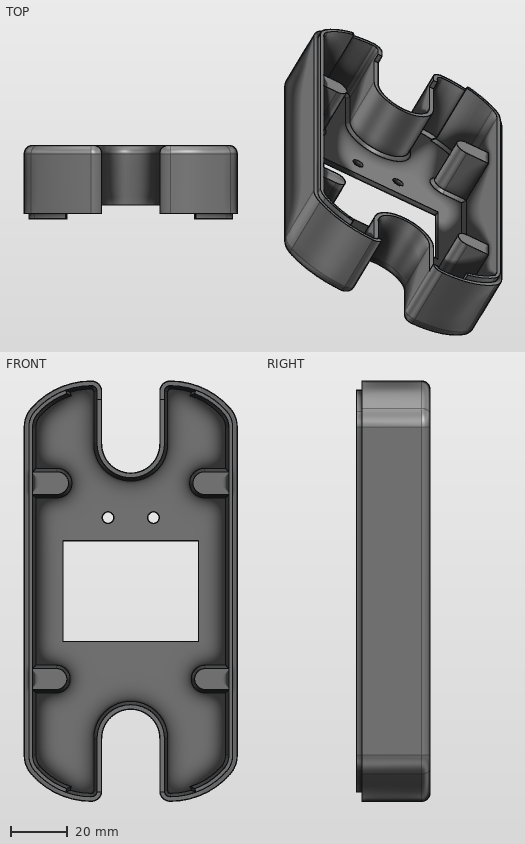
import cadquery as cq
import math

length = 148.0
width = 75.0
depth = 25.9

end_radius = 28.0
corner_radius = 10.0
notch_half_width = 10.2
notch_floor_z = 41.6
notch_corner_radius = 3.7

back_round = 3.0
floor_thickness = 1.8
thin_wall = 1.6
side_wall = 3.0
foot_chamfer = 1.2
lip_height = 1.9
lip_end_angle = 70.0

notch_wall_drop = 3.0
notch_drop_top_z = 67.5
notch_drop_bottom_z = -70.7

window_width = 47.7
window_height = 35.4
hole_diameter = 4.0
hole_x = 8.0
hole_z = 25.9

peg_pairs = [
    (38.0, 4.0, 21.9),
    (-31.0, 3.7, 22.5),
]
peg_front_y = 6.4

half_width = width / 2
half_length = length / 2
rim_y = lip_height
floor_y = depth - floor_thickness
arc_x = notch_half_width + notch_corner_radius
arc_z = half_length - end_radius
corner_x = half_width - corner_radius
corner_run = corner_x - arc_x
corner_z = arc_z + math.sqrt((end_radius - corner_radius) ** 2 - corner_run**2)
joint_angle = math.degrees(math.atan2(corner_z - arc_z, corner_run))
notch_corner_z = half_length - notch_corner_radius
notch_arc_z = notch_floor_z + notch_half_width


def polar(center_x, center_z, radius, angle):
    """Point on a circle, with the angle in degrees from the X direction."""
    turn = math.radians(angle)
    return (center_x + radius * math.cos(turn), center_z + radius * math.sin(turn))


def side_path(inset, end_angle):
    """Upper right outline from the side to end_angle on the end arc, as arc (middle, end) pairs."""
    return [
        (
            polar(corner_x, corner_z, corner_radius - inset, joint_angle / 2),
            polar(corner_x, corner_z, corner_radius - inset, joint_angle),
        ),
        (
            polar(arc_x, arc_z, end_radius - inset, (joint_angle + end_angle) / 2),
            polar(arc_x, arc_z, end_radius - inset, end_angle),
        ),
    ]


def notch_path(inset):
    """Continues side_path around the notch corner and down to the middle of the notch."""
    corner = notch_corner_radius - inset
    notch_radius = notch_half_width + inset
    return [
        (
            polar(arc_x, notch_corner_z, corner, 135),
            polar(arc_x, notch_corner_z, corner, 180),
        ),
        (
            polar(0, notch_arc_z, notch_radius, -45),
            polar(0, notch_arc_z, notch_radius, -90),
        ),
    ]


def prism(sketch, start_y, end_y):
    """Extrude a closed XZ sketch from start_y to end_y."""
    return sketch.extrude(start_y - end_y).translate((0, start_y, 0))


def case_prism(inset, start_y, end_y):
    """Prism of the whole outline, moved inward by inset."""
    (corner, end_arc) = side_path(inset, 90)
    (notch_corner, notch_arc) = notch_path(inset)
    notch_side = (notch_half_width + inset, notch_arc_z)
    quarter = (
        cq.Workplane("XZ")
        .lineTo(half_width - inset, 0)
        .lineTo(half_width - inset, corner_z)
        .threePointArc(*corner)
        .threePointArc(*end_arc)
        .threePointArc(*notch_corner)
        .lineTo(*notch_side)
        .threePointArc(*notch_arc)
        .close()
    )
    right_upper = prism(quarter, start_y, end_y)
    upper = right_upper.union(right_upper.mirror("YZ"))
    return upper.union(upper.mirror("XY")).clean()


def liner(start_y, end_y):
    """Inner layer of both thick side walls, reaching around the corners onto the end arcs."""
    (outer_corner, outer_arc) = side_path(thin_wall, lip_end_angle)
    (inner_corner, inner_arc) = side_path(side_wall, lip_end_angle)
    strip = (
        cq.Workplane("XZ")
        .moveTo(half_width - thin_wall, 0)
        .lineTo(half_width - thin_wall, corner_z)
        .threePointArc(*outer_corner)
        .threePointArc(*outer_arc)
        .lineTo(*inner_arc[1])
        .threePointArc(inner_arc[0], inner_corner[1])
        .threePointArc(inner_corner[0], (half_width - side_wall, corner_z))
        .lineTo(half_width - side_wall, 0)
        .close()
    )
    right_upper = prism(strip, start_y, end_y)
    right = right_upper.union(right_upper.mirror("XY"))
    return right.union(right.mirror("YZ")).clean()


def pegs():
    """Round-tipped pegs standing on the floor against the side walls."""
    wall_x = half_width - thin_wall
    group = cq.Workplane("XY")
    for peg_z, radius, tip_x in peg_pairs:
        profile = (
            cq.Workplane("XZ")
            .moveTo(wall_x, peg_z - radius)
            .lineTo(tip_x + radius, peg_z - radius)
            .threePointArc((tip_x, peg_z), (tip_x + radius, peg_z + radius))
            .lineTo(wall_x, peg_z + radius)
            .close()
        )
        peg = prism(profile, peg_front_y, floor_y)
        group = group.add(peg).add(peg.mirror("YZ"))
    return group.combine()


def notch_drop():
    """Block of space that sets the notch walls at both ends back from the rim."""
    reach = notch_half_width + thin_wall
    drop_height = notch_drop_top_z - notch_drop_bottom_z
    block = cq.Workplane("XY").box(2 * reach, notch_wall_drop, drop_height, centered=(True, False, False))
    return block.translate((0, rim_y, notch_drop_bottom_z))


def floor_openings():
    """Rectangular window and two round holes through the floor."""
    window = cq.Workplane("XZ").rect(window_width, window_height)
    hole_centers = [(-hole_x, hole_z), (hole_x, hole_z)]
    holes = cq.Workplane("XZ").pushPoints(hole_centers).circle(hole_diameter / 2)
    return prism(window, floor_y, depth).union(prism(holes, floor_y, depth))


body = case_prism(0, rim_y, depth).faces(">Y").edges().fillet(back_round)
cavity = case_prism(thin_wall, rim_y, floor_y).cut(liner(rim_y, floor_y)).cut(pegs())
cavity = cavity.faces(">Y").edges().chamfer(foot_chamfer)

lip = liner(0, rim_y)
result = body.cut(cavity).union(lip).cut(notch_drop()).cut(floor_openings())